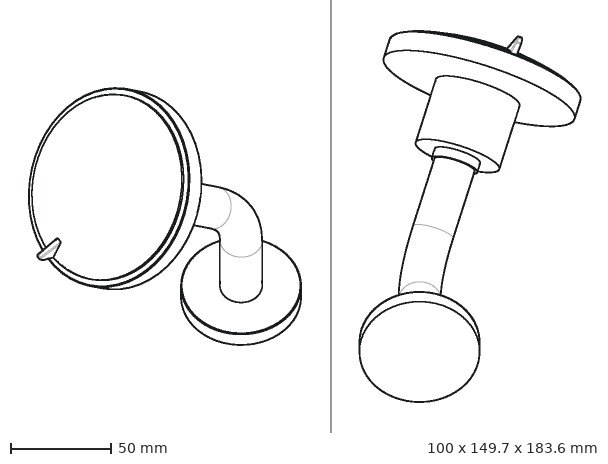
import cadquery as cq
import math

flange_diameter = 60.0
flange_height = 9.4
edge_chamfer = 0.45

pipe_diameter = 21.1
bend_start_height = 47.7
bend_radius = 54.7
bend_angle = 45.0

straight_length = 36.1
collar_diameter = 23.8
collar_length = 5.0
hub_diameter = 43.8

hub_to_rim = 36.3
disc_diameter = 100.0
rim_height = 10.5
back_bulge = 2.8

dome_diameter = 93.2
dome_wall = 1.5
dome_height = 9.5

pointer_base_width = 4.2
pointer_top_width = 2.5
pointer_round = 0.5
pointer_tip_round = 1.1
pointer_buried_radius = 33.0
pointer_buried_height = 3.0
pointer_foot_radius = 45.9
pointer_tip_radius = 49.9
pointer_tip_top = 10.0
pointer_tip_bottom = 6.2

tilt = math.radians(bend_angle)
bend_end_y = -bend_radius * (1 - math.cos(tilt))
bend_end_z = bend_start_height + bend_radius * math.sin(tilt)
hub_start = straight_length + collar_length
rim_start = hub_start + hub_to_rim
dome_start = rim_start + rim_height
disc_radius = disc_diameter / 2
dome_radius = dome_diameter / 2

tilted_plane = cq.Plane(
    origin=(0, bend_end_y, bend_end_z),
    xDir=(1, 0, 0),
    normal=(0, -math.sin(tilt), math.cos(tilt)),
)


def on_tilted_axis(body):
    """Move a body built along Z onto the tilted axis of the pipe's end."""
    return cq.Workplane(body.val().moved(cq.Location(tilted_plane)))


def cylinder(diameter, start, length):
    return cq.Workplane("XY").workplane(offset=start).circle(diameter / 2).extrude(length)


def make_flange():
    return cylinder(flange_diameter, 0, flange_height).faces(">Z").edges().chamfer(edge_chamfer)


def make_pipe():
    half_tilt = tilt / 2
    bend_middle = (
        -bend_radius * (1 - math.cos(half_tilt)),
        bend_start_height + bend_radius * math.sin(half_tilt),
    )
    pipe_end = (
        bend_end_y - straight_length * math.sin(tilt),
        bend_end_z + straight_length * math.cos(tilt),
    )
    path = (
        cq.Workplane("YZ")
        .moveTo(0, flange_height)
        .lineTo(0, bend_start_height)
        .threePointArc(bend_middle, (bend_end_y, bend_end_z))
        .lineTo(*pipe_end)
    )
    section = cq.Workplane("XY").workplane(offset=flange_height).circle(pipe_diameter / 2)
    return section.sweep(path)


def make_disc():
    """Disc with a spherical back and a chamfered front edge."""
    mid_radius = disc_radius / 2
    mid_bulge = back_bulge * (1 - (mid_radius / disc_radius) ** 2)
    return (
        cq.Workplane("XZ")
        .moveTo(0, rim_start - back_bulge)
        .threePointArc((mid_radius, rim_start - mid_bulge), (disc_radius, rim_start))
        .lineTo(disc_radius, dome_start - edge_chamfer)
        .lineTo(disc_radius - edge_chamfer, dome_start)
        .lineTo(0, dome_start)
        .close()
        .revolve(360, (0, 0), (0, 1))
    )


def make_hub(disc):
    """Hub whose front end fits the domed back of the disc."""
    return cylinder(hub_diameter, hub_start, hub_to_rim).cut(disc)


def make_pointer():
    """Pointer that narrows away from the disc; its root is buried in the dome."""
    side_outline = [
        (-pointer_buried_radius, 0),
        (-pointer_buried_radius, pointer_buried_height),
        (-pointer_tip_radius, pointer_tip_top),
        (-pointer_tip_radius, pointer_tip_bottom),
        (-pointer_foot_radius, 0),
    ]
    blade = (
        cq.Workplane("YZ")
        .polyline(side_outline)
        .close()
        .extrude(pointer_base_width / 2, both=True)
    )
    blade = blade.faces("<Y").edges("|X").fillet(pointer_tip_round)
    cross_section = [
        (-pointer_base_width / 2, 0),
        (pointer_base_width / 2, 0),
        (pointer_top_width / 2, pointer_tip_top),
        (-pointer_top_width / 2, pointer_tip_top),
    ]
    wedge = cq.Workplane("XZ").polyline(cross_section).close().extrude(pointer_tip_radius)
    pointer = blade.intersect(wedge)
    rounded = pointer.faces(">Z").edges("not |X").fillet(pointer_round)
    return rounded.translate((0, 0, dome_start))


def make_dome():
    """Spherical cap on a short wall, in one piece with its pointer."""
    mid_radius = dome_radius / 2
    cap_height = dome_height - dome_wall
    mid_height = dome_height - cap_height * (mid_radius / dome_radius) ** 2
    cap = (
        cq.Workplane("XZ")
        .moveTo(0, dome_start)
        .lineTo(dome_radius, dome_start)
        .lineTo(dome_radius, dome_start + dome_wall)
        .threePointArc((mid_radius, dome_start + mid_height), (0, dome_start + dome_height))
        .close()
        .revolve(360, (0, 0), (0, 1))
    )
    return cap.union(make_pointer())


flange = make_flange()
pipe = make_pipe()
collar = on_tilted_axis(cylinder(collar_diameter, straight_length, collar_length))
head_disc = make_disc()
hub = on_tilted_axis(make_hub(head_disc))
disc = on_tilted_axis(head_disc)
dome = on_tilted_axis(make_dome())

result = cq.Compound.makeCompound([
    flange.val(),
    pipe.val(),
    collar.val(),
    hub.val(),
    disc.val(),
    dome.val(),
])